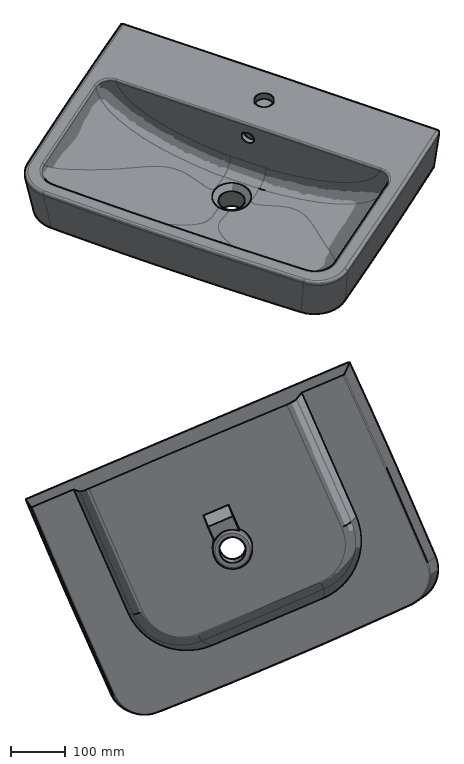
import cadquery as cq
import math


tolerance = 1e-4
margin = 1.0

width = 648.88
depth = 459.43
height = 173.51

body_height = 102.0
side_inset = 12.0
front_inset = 14.5
side_bulge = 2.0
front_bulge = 6.0
body_corner_radius = 62.0
rim_round = 6.0
base_round = 2.5
deck_crown = 1.2
deck_slope = 1.2

bowl_half_width = 294.0
bowl_back = 137.0
bowl_front = 430.0
bowl_bulge = 5.0
bowl_floor = 126.0
bowl_fullness = 0.93
bowl_front_corner = 36.0
bowl_corner_growth = 90.0
bowl_largest_corner = 0.9
bowl_heel_radius = 28.0
bowl_sections = 8
bowl_last_angle = 84.0
bowl_edge_round = 4.0

under_half_width = 227.0
under_front = 367.0
under_corner_radius = 117.0
under_side_inset = 15.0
under_front_inset = 34.0
under_depth = 157.0
under_middle_depth = 150.5
under_rise = 5.5
under_round = 19.0

drain_y = 206.0
drain_bore = 48.0
drain_seat_diameter = 75.0
drain_seat_top = 124.0
drain_seat_depth = 11.0
spigot_top_diameter = 73.5
spigot_bottom_diameter = 72.0
spigot_round = 4.0
spigot_root = 140.0

channel_width = 50.0
channel_start = 130.0
channel_end = 194.0
channel_depth = 164.0
channel_slope_run = 20.0

tap_diameter = 36.0
tap_y = 68.0
tap_depth = 15.0
overflow_diameter = 25.0
overflow_z = -35.0
overflow_depth = 11.0


def point(x, distance, z):
    """Point at a given distance from the wall face."""
    return cq.Vector(x, -distance, z)


def bowed_edge(start, middle, end):
    """Arc through three points, or a line when they are in line."""
    if (middle - (start + end) * 0.5).Length < tolerance:
        return cq.Edge.makeLine(start, end)
    return cq.Edge.makeThreePointArc(start, middle, end)


def outline(half_width, back, front, z, corner, bow_side=0.0, bow_front=0.0):
    """Horizontal outline with square back corners and rounded front corners.

    half_width and front are measured at the tops of the bows.
    """
    x_corner = half_width - bow_side
    y_corner = front - bow_front
    y_middle = (back + y_corner) / 2
    back_left = point(-x_corner, back, z)
    front_left = point(-x_corner, y_corner, z)
    front_right = point(x_corner, y_corner, z)
    back_right = point(x_corner, back, z)
    wire = cq.Wire.assembleEdges([
        cq.Edge.makeLine(back_right, back_left),
        bowed_edge(back_left, point(-half_width, y_middle, z), front_left),
        bowed_edge(front_left, point(0, front, z), front_right),
        bowed_edge(front_right, point(half_width, y_middle, z), back_right),
    ])
    front_vertices = [
        vertex
        for vertex in wire.Vertices()
        if min((vertex.Center() - front_left).Length, (vertex.Center() - front_right).Length) < tolerance
    ]
    return wire.fillet2D(corner, front_vertices)


def rim_overhang(inset, fall):
    """Extra size of the sharp rim at Z = 0 that leaves the lowered, rounded rim at full size."""
    draft = math.atan(inset / body_height)
    return fall * math.tan(draft) + rim_round * (math.tan(draft) + 1 / math.cos(draft) - 1)


def off_wall_between(z_low, z_high):
    """Selector of the edges clear of the wall face whose centres lie between two heights."""
    return cq.selectors.BoxSelector((-width, -2 * depth, z_low), (width, -margin, z_high))


def make_body():
    half_width = width / 2 + rim_overhang(side_inset, deck_crown + deck_slope / 2)
    front = depth + rim_overhang(front_inset, deck_slope)
    top = outline(half_width, 0, front, 0, body_corner_radius, side_bulge, front_bulge)
    bottom = outline(
        half_width - side_inset,
        0,
        front - front_inset,
        -body_height,
        body_corner_radius,
        side_bulge,
        front_bulge,
    )
    body = cq.Workplane(cq.Solid.makeLoft([bottom, top], True))

    end_drop = 4 * deck_crown
    above = (
        cq.Workplane("XZ")
        .moveTo(-width, -end_drop)
        .threePointArc((0, 0), (width, -end_drop))
        .lineTo(width, height)
        .lineTo(-width, height)
        .close()
        .extrude(2 * depth, both=True)
        .rotate((0, 0, 0), (1, 0, 0), math.degrees(math.atan(deck_slope / depth)))
    )
    body = body.cut(above)
    body = body.edges(off_wall_between(-body_height / 2, 0)).fillet(rim_round)
    return body.edges(off_wall_between(-body_height - margin, -body_height + margin)).fillet(base_round)


def make_underside():
    reach = (height - body_height) / (under_depth - body_height)
    top = outline(under_half_width, 0, under_front, -body_height, under_corner_radius)
    bottom = outline(
        under_half_width - under_side_inset * reach,
        0,
        under_front - under_front_inset * reach,
        -height,
        under_corner_radius - under_front_inset * reach,
    )
    block = cq.Workplane(cq.Solid.makeLoft([top, bottom], True))

    rise_angle = math.degrees(math.atan(under_rise / under_front))
    below = (
        cq.Workplane("XZ")
        .moveTo(-under_half_width, -under_depth)
        .threePointArc((0, -under_middle_depth), (under_half_width, -under_depth))
        .lineTo(under_half_width, -2 * height)
        .lineTo(-under_half_width, -2 * height)
        .close()
        .extrude(2 * depth, both=True)
        .rotate((0, 0, -under_depth), (1, 0, -under_depth), -rise_angle)
    )
    block = block.cut(below)
    bottom_edges = off_wall_between(-height, -under_middle_depth + under_rise + margin)
    return block.edges(bottom_edges).fillet(under_round)


def make_spigot():
    top_radius = spigot_top_diameter / 2
    bottom_radius = spigot_bottom_diameter / 2
    return (
        cq.Workplane("XZ")
        .moveTo(0, -spigot_root)
        .lineTo(top_radius, -spigot_root)
        .lineTo(bottom_radius, -height)
        .lineTo(0, -height)
        .close()
        .revolve(360, (0, 0, 0), (0, 1, 0))
        .faces("<Z")
        .edges()
        .fillet(spigot_round)
        .translate((0, -drain_y, 0))
    )


def make_overflow_channel():
    return (
        cq.Workplane("YZ")
        .moveTo(-channel_start, -spigot_root)
        .lineTo(-channel_start, -under_middle_depth)
        .lineTo(-channel_start - channel_slope_run, -channel_depth)
        .lineTo(-channel_end, -channel_depth)
        .lineTo(-channel_end, -spigot_root)
        .close()
        .extrude(channel_width / 2, both=True)
    )


def bowl_section(angle):
    """Bowl outline at one angle (radians) along the near-elliptical wall profile, 0 at the rim."""
    shrink = math.cos(angle) ** bowl_fullness
    half_width = bowl_half_width * shrink
    front = drain_y + (bowl_front - drain_y) * shrink
    corner = min(bowl_front_corner + bowl_corner_growth * math.sin(angle), bowl_largest_corner * half_width)
    back = bowl_back - bowl_heel_radius
    z = -bowl_floor * math.sin(angle)
    return outline(half_width, back, front, z, corner, bow_front=bowl_bulge * shrink)


def make_bowl():
    """Trough with a near-elliptical profile, cut off flat at the back wall and rounded along that edge."""
    last_angle = math.radians(bowl_last_angle)
    angles = [last_angle * i / (bowl_sections - 1) for i in range(bowl_sections)]
    sections = [bowl_section(angle) for angle in reversed(angles)]
    trough = cq.Workplane(cq.Solid.makeLoft(sections, False))
    in_front_of_wall = (
        cq.Workplane("XY")
        .box(width, depth, height)
        .translate((0, -bowl_back - depth / 2, -height / 2))
    )
    bowl = trough.intersect(in_front_of_wall)
    heel = cq.selectors.BoxSelector(
        (-width, -bowl_back - margin, -height),
        (width, margin - bowl_back, -margin),
    )
    return bowl.edges(heel).fillet(bowl_heel_radius)


def make_drain_cut():
    """Through bore with a conical seat in the bowl floor."""
    bore = cq.Workplane("XY").workplane(offset=-height - margin).circle(drain_bore / 2).extrude(height / 2)
    seat_base = cq.Vector(0, 0, -drain_seat_top - drain_seat_depth)
    seat = cq.Solid.makeCone(drain_bore / 2, drain_seat_diameter / 2, drain_seat_depth, seat_base)
    return bore.union(cq.Workplane(seat)).translate((0, -drain_y, 0))


def make_tap_hole():
    return (
        cq.Workplane("XY")
        .center(0, -tap_y)
        .circle(tap_diameter / 2)
        .extrude(-tap_depth)
    )


def make_overflow_hole():
    """Horizontal hole running from the bowl's back wall towards the wall face."""
    return (
        cq.Workplane("XZ", origin=(0, overflow_depth - bowl_back, overflow_z))
        .circle(overflow_diameter / 2)
        .extrude(2 * overflow_depth)
    )


def round_bowl_rim(body):
    rim = cq.selectors.BoxSelector(
        (-bowl_half_width - margin, -bowl_front - margin, -rim_round),
        (bowl_half_width + margin, margin - bowl_back, 0),
    )
    return body.edges(rim).fillet(bowl_edge_round)


result = make_body().union(make_underside()).union(make_spigot()).union(make_overflow_channel())
result = round_bowl_rim(result.cut(make_bowl()))
result = result.cut(make_drain_cut()).cut(make_tap_hole()).cut(make_overflow_hole())